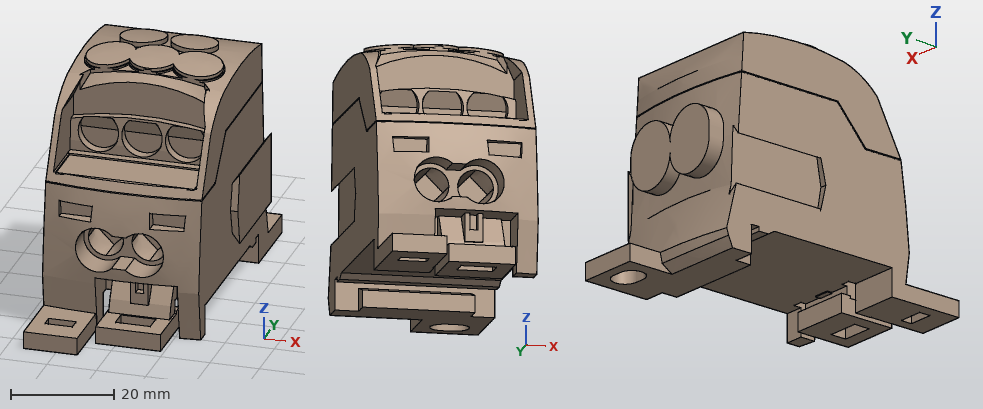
import cadquery as cq

OVERALL_LENGTH = 68.0
OVERALL_WIDTH = 33.2
OVERALL_HEIGHT = 49.4
KEY_HEIGHT = 1.5
BODY_WIDTH = OVERALL_WIDTH - KEY_HEIGHT
HALF_WIDTH = BODY_WIDTH / 2
MARGIN = 0.7

PAD_HEIGHT = 1.0
CROWN_TOP = OVERALL_HEIGHT - PAD_HEIGHT
FRONT_EDGE_Z = 29.2
BULGE_Z = 10.3
FOOT_BACK_Y = 57.3
REAR_TOP_CORNER = (54.55, 45.7)
FLANK_OUTLINE = [
    (13.9, 0), (12.6, BULGE_Z), (13.5, 20.4, 14.7, FRONT_EDGE_Z), (20.7, 40.8),
    (24.5, 43.9, 29.2, 46.0), (40.1, 47.1, *REAR_TOP_CORNER), (54.8, 40.8), (55.9, 24.5),
    (56.45, 13.6), (58.8, 3.8), (58.35, 2.4), (FOOT_BACK_Y, 0),
]
CROWN_OUTLINE = [
    (13.0, 0), (11.35, BULGE_Z), (11.5, 20.4, 13.45, FRONT_EDGE_Z), (20.4, 41.9),
    (24.2, 45.5, 29.2, 47.4), (39.45, CROWN_TOP, *REAR_TOP_CORNER), (56.45, 40.8), (56.85, 24.5),
    (56.45, 14.95), (60.3, 3.8), (59.85, 1.6), (FOOT_BACK_Y, 0),
]

RAIL_FRONT, RAIL_BACK = 16.9, 52.5
RAIL_ROOF = 6.1
RAIL_LIP_Z = 5.2
RAIL_LIP = [(50.6, RAIL_ROOF), (50.6, RAIL_LIP_Z), (48.3, RAIL_LIP_Z), (46.7, RAIL_ROOF)]
HOOK_HALF_WIDTH = 11.15
HOOK_TIP_Y = 48.8

FRONT_LUG_HEIGHT = 3.55
FRONT_LUG_RIGHT = -4.95
REAR_LUG_HEIGHT = 3.8
REAR_LUG_LEFT = 2.45

POCKET_HALF_WIDTH = 14.5
POCKET_FLOOR = 30.8
POCKET_BACK = 28.75
TERMINAL_PITCH = 8.85
FLOOR_HALF_WIDTH = 14.1
LIP_TOP, LIP_BACK = 31.1, 15.4
SILL_TOP, SILL_Y = 31.15, 24.8
TERMINAL_FACE_Y = 26.6
TERMINAL_Z = 35.5
TERMINAL_RADIUS = 4.1

OPENING_LEFT, OPENING_RIGHT, OPENING_TOP = -4.8, 11.7, 11.55
OPENING_BACK = 18.7
SLIDER_CENTRE = 3.4
SLIDER_WIDTH = 13.2
SLIDER_FRONT = 6.4

DOVETAIL_Z = 19.05
DOVETAIL_TIP_Y, DOVETAIL_SHOULDER_Y = 33.7, 34.95
DOVETAIL_END_Y = 55.95


def box(x0, x1, y0, y1, z0, z1):
    """Block between two positions along each axis."""
    return cq.Workplane("XY").box(x1 - x0, y1 - y0, z1 - z0, centered=False).translate((x0, y0, z0))


def along_x(points, x0, x1):
    """Prism of a (y, z) outline between two x positions."""
    return cq.Workplane("YZ").workplane(offset=x0).polyline(points).close().extrude(x1 - x0)


def disc_y(x, z, radius, y0, y1):
    """Cylinder lying along Y."""
    return cq.Workplane("XZ", origin=(x, y0, z)).circle(radius).extrude(y0 - y1)


def outline_wire(x, outline):
    """Closed wire in the plane at x, made of straight runs and arcs."""
    start = cq.Vector(x, *outline[0])
    previous = start
    edges = []
    for step in outline[1:]:
        end = cq.Vector(x, *step[-2:])
        if len(step) == 4:
            edges.append(cq.Edge.makeThreePointArc(previous, cq.Vector(x, *step[:2]), end))
        else:
            edges.append(cq.Edge.makeLine(previous, end))
        previous = end
    edges.append(cq.Edge.makeLine(previous, start))
    return cq.Wire.assembleEdges(edges)


def make_housing():
    """Flat-sided shell, bulging towards its mid-plane."""
    sections = [(-HALF_WIDTH, FLANK_OUTLINE), (0, CROWN_OUTLINE), (HALF_WIDTH, FLANK_OUTLINE)]
    wires = [outline_wire(x, outline) for x, outline in sections]
    return cq.Workplane(obj=cq.Solid.makeLoft(wires))


def make_pads(housing):
    """Screw covers on top: two round ones behind a joined row of three, all following the crown."""
    rear_radius, rear_y, rear_x = 4.6, 45.1, 5.2
    row_radius, row_y = 4.9, 35.3
    tier_radius, tier_height = row_radius + 0.3, 0.35
    base_z, column_height = 40.8, 13.6

    def columns(places, radius):
        """Joined upright cylinders at the given (x, y) places."""
        base = cq.Workplane("XY", origin=(0, 0, base_z))
        solids = [base.center(x, y).circle(radius).extrude(column_height) for x, y in places]
        joined = solids[0]
        for solid in solids[1:]:
            joined = joined.union(solid)
        return joined

    row = [(i * TERMINAL_PITCH, row_y) for i in (-1, 0, 1)]
    pads = columns(row, row_radius).union(columns([(-rear_x, rear_y), (rear_x, rear_y)], rear_radius))
    pads = pads.intersect(housing.translate((0, 0, PAD_HEIGHT)))
    tier = columns(row, tier_radius).intersect(housing.translate((0, 0, tier_height)))
    return pads.union(tier)


def make_rail_channel():
    """Channel across the base, leaving a small lip under its roof near the back."""
    outline = [(RAIL_FRONT, -MARGIN), (RAIL_FRONT, RAIL_ROOF), *RAIL_LIP[::-1]]
    outline += [(RAIL_BACK, RAIL_ROOF), (RAIL_BACK, -MARGIN)]
    return along_x(outline, -HALF_WIDTH - MARGIN, HALF_WIDTH + MARGIN)


def make_rear_hook():
    """Fixed hook that grips the rail from behind."""
    tip_z, root_z, root_y = 3.4, 4.55, RAIL_BACK + MARGIN
    outline = [(root_y, 0), (HOOK_TIP_Y, 0), (HOOK_TIP_Y, tip_z), (RAIL_BACK, root_z), (root_y, root_z)]
    return along_x(outline, -HOOK_HALF_WIDTH, HOOK_HALF_WIDTH)


def make_front_lug():
    """Foot plate at the front left, with a rectangular slot."""
    lug = box(-HALF_WIDTH, FRONT_LUG_RIGHT, 0, RAIL_FRONT, 0, FRONT_LUG_HEIGHT)
    slot_left, slot_right, slot_front, slot_back = -13.05, -7.5, 5.0, 7.6
    return lug.cut(box(slot_left, slot_right, slot_front, slot_back, -MARGIN, FRONT_LUG_HEIGHT + MARGIN))


def make_rear_lug():
    """Foot plate at the rear right, with a rounded slot."""
    slot_length, slot_width, slot_x, slot_y = 7.75, 5.7, 9.1, 62.75
    lug = box(REAR_LUG_LEFT, HALF_WIDTH, RAIL_BACK, OVERALL_LENGTH, 0, REAR_LUG_HEIGHT)
    slot = cq.Workplane("XY", origin=(slot_x, slot_y, -MARGIN)).slot2D(slot_length, slot_width)
    return lug.cut(slot.extrude(REAR_LUG_HEIGHT + 2 * MARGIN))


def make_rear_bosses():
    """Two upright rounded bosses standing side by side on the rear wall."""
    width, height, centre_z, root_y, back_y = 11.8, 14.2, 25.1, 53.05, 59.9
    sketch = cq.Workplane("XZ", origin=(0, root_y, centre_z))
    left, right = [
        sketch.center(x, 0).slot2D(height, width, angle=90).extrude(root_y - back_y)
        for x in (-width / 2, width / 2)
    ]
    return left.union(right)


def make_dovetail(x, end_y):
    """Wedge that widens over KEY_HEIGHT in +X from the plane at x, with a pointed front end."""
    narrow_half_height, wide_half_height = 5.3, 7.3
    wires = []
    for depth, half in ((0, narrow_half_height), (KEY_HEIGHT, wide_half_height)):
        corners = [
            (end_y, -half), (DOVETAIL_SHOULDER_Y, -half), (DOVETAIL_TIP_Y, 0),
            (DOVETAIL_SHOULDER_Y, half), (end_y, half),
        ]
        points = [cq.Vector(x + depth, y, DOVETAIL_Z + z) for y, z in corners]
        wires.append(cq.Wire.makePolygon(points, close=True))
    return cq.Workplane(obj=cq.Solid.makeLoft(wires, True))


def make_seam():
    """Fine groove all round the parting line between base and cover."""
    gap, depth, core_front, core_back = 0.2, 0.35, 15.0, 54.7
    line = [(0, FRONT_EDGE_Z), (23.6, FRONT_EDGE_Z), (30.7, 37.25), (OVERALL_LENGTH, 37.55)]
    band = [(y, z - gap / 2) for y, z in line] + [(y, z + gap / 2) for y, z in line[::-1]]
    seam = along_x(band, -HALF_WIDTH - MARGIN, HALF_WIDTH + MARGIN)
    core_half = HALF_WIDTH - depth
    return seam.cut(box(-core_half, core_half, core_front, core_back, 0, OVERALL_HEIGHT))


def make_pocket():
    """Open cable space in the cover slope, narrowing upwards, with a bevelled arched brow."""
    mouth_half_width = 11.55
    half = [
        (POCKET_HALF_WIDTH, LIP_TOP), (POCKET_HALF_WIDTH, 41.8), (12.65, 45.9),
        (mouth_half_width, OVERALL_HEIGHT),
    ]
    outline = half + [(-x, z) for x, z in half[::-1]]
    pocket = cq.Workplane("XZ").polyline(outline).close().extrude(-POCKET_BACK)
    floor = box(-FLOOR_HALF_WIDTH, FLOOR_HALF_WIDTH, LIP_BACK, POCKET_BACK, POCKET_FLOOR, LIP_TOP)
    pocket = pocket.union(floor)

    brow = [
        cq.Workplane("XZ", origin=(0, y, 0)).moveTo(-half_width, side_z)
        .threePointArc((0, mid_z), (half_width, side_z))
        .lineTo(half_width, CROWN_TOP).lineTo(-half_width, CROWN_TOP)
        .close().val()
        for y, half_width, side_z, mid_z in (
            (POCKET_BACK, 13.1, 43.1, 46.1),
            (30.45, mouth_half_width, 46.1, 47.45),
        )
    ]
    return pocket.union(cq.Workplane(obj=cq.Solid.makeLoft(brow, True)))


def make_terminals():
    """Sill and arched terminal block at the back of the pocket, with three cable entries."""
    root_y = POCKET_BACK + MARGIN
    arch_side_z, arch_mid_z = 37.6, 39.2
    break_z, lean_y, block_top = 33.2, 27.2, 39.45
    sill = box(-POCKET_HALF_WIDTH, POCKET_HALF_WIDTH, SILL_Y, root_y, POCKET_FLOOR, SILL_TOP)
    arch = (
        cq.Workplane("XZ")
        .moveTo(-POCKET_HALF_WIDTH, POCKET_FLOOR).lineTo(-POCKET_HALF_WIDTH, arch_side_z)
        .threePointArc((0, arch_mid_z), (POCKET_HALF_WIDTH, arch_side_z))
        .lineTo(POCKET_HALF_WIDTH, POCKET_FLOOR)
        .close().extrude(-root_y)
    )
    face = [
        (TERMINAL_FACE_Y, POCKET_FLOOR), (TERMINAL_FACE_Y, break_z), (lean_y, block_top),
        (root_y, block_top), (root_y, POCKET_FLOOR),
    ]
    block = along_x(face, -POCKET_HALF_WIDTH, POCKET_HALF_WIDTH).intersect(arch).union(sill)

    entry_top = TERMINAL_Z + TERMINAL_RADIUS
    reach = [
        (SILL_Y, POCKET_FLOOR), (POCKET_BACK, POCKET_FLOOR), (POCKET_BACK, TERMINAL_Z),
        (TERMINAL_FACE_Y, entry_top), (SILL_Y, entry_top),
    ]
    space = along_x(reach, -HALF_WIDTH, HALF_WIDTH)
    for i in (-1, 0, 1):
        entry = disc_y(i * TERMINAL_PITCH, TERMINAL_Z, TERMINAL_RADIUS, SILL_Y, POCKET_BACK)
        block = block.cut(entry.intersect(space))
    return block


def make_front_slots():
    """Two shallow windows in the front wall, slightly narrower at the bottom."""
    width_top, width_bottom, z_top, z_bottom = 7.1, 6.65, 26.0, 22.9
    centre_x, back_y = 9.3, 14.6
    slots = []
    for x in (-centre_x, centre_x):
        corners = [
            (x - width_top / 2, z_top), (x + width_top / 2, z_top),
            (x + width_bottom / 2, z_bottom), (x - width_bottom / 2, z_bottom),
        ]
        slots.append(cq.Workplane("XZ").polyline(corners).close().extrude(-back_y))
    return slots[0].union(slots[1])


def make_wire_entry():
    """Figure-eight recess in the front wall, with two holes tapering from round to square."""
    hole_x, hole_z, lobe_radius, waist = 4.4, 17.4, 4.5, 6.65
    floor_y, hole_radius, hole_depth = 17.35, 3.55, 5.45
    waist_half_width = 2.9
    entry = box(-waist_half_width, waist_half_width, 0, floor_y, hole_z - waist / 2, hole_z + waist / 2)
    for x in (-hole_x, hole_x):
        entry = entry.union(disc_y(x, hole_z, lobe_radius, 0, floor_y))
        hole = (
            cq.Workplane("XZ", origin=(x, floor_y, hole_z)).circle(hole_radius)
            .workplane(offset=-hole_depth).polygon(4, 2 * hole_radius).loft(ruled=True)
        )
        entry = entry.union(hole)
    return entry


def make_slider():
    """Sliding rail latch: slotted tongue, upright with a sloped shoulder, and a small centre tab."""
    left, right = SLIDER_CENTRE - SLIDER_WIDTH / 2, SLIDER_CENTRE + SLIDER_WIDTH / 2
    nose_back, nose_height = 19.1, 4.1
    foot_y, foot_back = 13.75, 17.5
    shoulder_y, shoulder_z, shoulder_top_y = 14.55, 6.05, 17.7
    upright_half_width = 6.2
    tab_half_width, tab_front, tab_bottom = 1.8, 14.0, 5.9
    groove_half_width, groove_back, groove_bottom = 0.8, 15.65, 8.3
    slot_half_width, slot_front, slot_back = 3.55, 9.6, 13.25

    def centred_box(half_width, y0, y1, z0, z1):
        return box(SLIDER_CENTRE - half_width, SLIDER_CENTRE + half_width, y0, y1, z0, z1)

    tongue = box(left, right, SLIDER_FRONT, nose_back, 0, FRONT_LUG_HEIGHT)
    tongue = tongue.cut(
        centred_box(slot_half_width, slot_front, slot_back, -MARGIN, FRONT_LUG_HEIGHT + MARGIN)
    )
    nose = box(left, right, RAIL_FRONT, nose_back, 0, nose_height)
    outline = [
        (foot_y, 0), (foot_y, FRONT_LUG_HEIGHT), (shoulder_y, shoulder_z), (shoulder_top_y, OPENING_TOP),
        (OPENING_BACK, OPENING_TOP), (OPENING_BACK, RAIL_ROOF), (foot_back, RAIL_ROOF), (foot_back, 0),
    ]
    upright = along_x(outline, SLIDER_CENTRE - upright_half_width, SLIDER_CENTRE + upright_half_width)
    tab = centred_box(tab_half_width, tab_front, OPENING_BACK, tab_bottom, OPENING_TOP)
    groove = centred_box(groove_half_width, tab_front - MARGIN, groove_back, groove_bottom, OPENING_TOP)
    return tongue.union(nose).union(upright).union(tab).cut(groove)


housing = make_housing()
result = housing.union(make_pads(housing)).union(make_rear_bosses())
result = result.cut(make_pocket()).union(make_terminals())
result = result.cut(make_seam())
result = result.cut(make_rail_channel())
result = result.cut(make_front_slots()).cut(make_wire_entry())
result = result.cut(box(OPENING_LEFT, OPENING_RIGHT, 0, OPENING_BACK, -MARGIN, OPENING_TOP))
result = result.union(make_slider()).union(make_rear_hook())
result = result.union(make_front_lug()).union(make_rear_lug())
result = result.union(make_dovetail(HALF_WIDTH, DOVETAIL_END_Y))
result = result.cut(make_dovetail(-HALF_WIDTH, OVERALL_LENGTH))